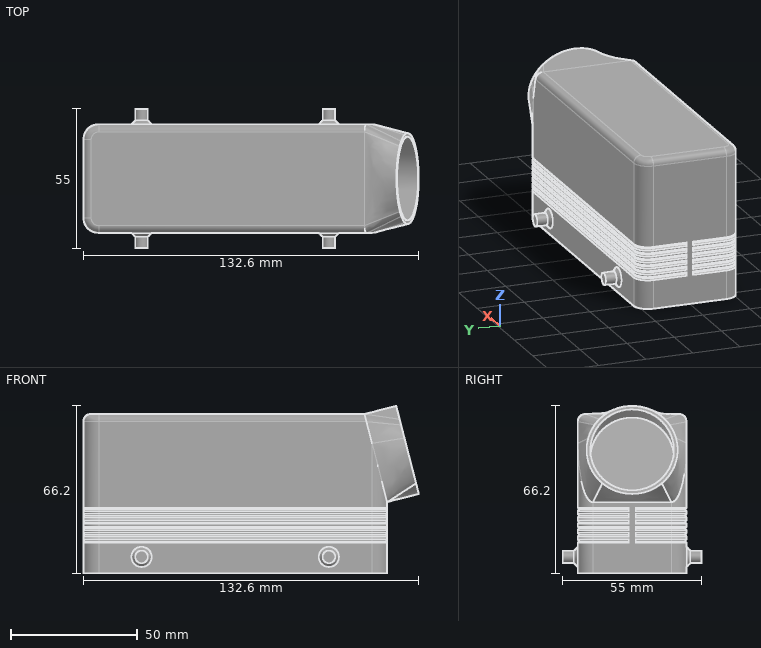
import cadquery as cq
import math

BODY_LENGTH = 120.0
BODY_WIDTH = 43.0
BODY_HEIGHT = 63.0
CORNER_RADIUS = 6.0
RIM_RADIUS = 3.0

GROOVE_COUNT = 6
GROOVE_PITCH = 2.5
GROOVE_HEIGHT = 1.5
GROOVE_DEPTH = 0.5
GROOVE_BAND_BOTTOM = 12.0
GROOVE_LAND_WIDTH = 2.75

PIN_SPACING = 74.0
PIN_HEIGHT = 6.5
PIN_RADIUS = 2.5
PIN_TIP_SPAN = 55.0
FOOT_RADIUS = 4.0
FOOT_LENGTH = FOOT_RADIUS - PIN_RADIUS

ENTRY_TILT = 14.4
MOUTH_RADIUS = 18.0
BORE_RADIUS = 16.5
MOUTH_END_X = 132.57
MOUTH_TOP_Z = 66.21
CUT_FOOT_Z = 28.1

TILT = math.radians(ENTRY_TILT)
AXIS = cq.Vector(math.cos(TILT), 0, math.sin(TILT))
UPHILL = cq.Vector(-math.sin(TILT), 0, math.cos(TILT))
SIDEWAYS = cq.Vector(0, 1, 0)
CUT_FOOT = cq.Vector(BODY_LENGTH, 0, CUT_FOOT_Z)
MOUTH_CENTRE = cq.Vector(
    MOUTH_END_X - MOUTH_RADIUS * math.sin(TILT), 0, MOUTH_TOP_Z - MOUTH_RADIUS * math.cos(TILT)
)
NECK_LENGTH = (MOUTH_CENTRE - CUT_FOOT).dot(AXIS)
CUT_CENTRE = MOUTH_CENTRE - AXIS * NECK_LENGTH


def rounded_prism(base_z, height):
    """Upright block with the body outline and its rounded corners."""
    return (
        cq.Workplane("XY", origin=(BODY_LENGTH / 2, 0, base_z))
        .rect(BODY_LENGTH, BODY_WIDTH)
        .extrude(height)
        .edges("|Z")
        .fillet(CORNER_RADIUS)
    )


def groove_cutter(base_z):
    """V-section ring around the body, open at the middle of both end walls."""
    half_height = GROOVE_HEIGHT / 2
    mid_z = base_z + half_height
    mid_point = cq.Vector(BODY_LENGTH / 2, 0, mid_z)
    path = rounded_prism(mid_z, half_height).faces("<Z").wires().val()
    start = path.startPoint()
    tangent = path.tangentAt(0)
    outward = tangent.cross(cq.Vector(0, 0, 1))
    if outward.dot(start - mid_point) < 0:
        outward = outward * -1
    section_plane = cq.Plane(origin=start, xDir=outward, normal=tangent)
    ring = (
        cq.Workplane(section_plane)
        .polyline([(0, -half_height), (0, half_height), (-GROOVE_DEPTH, 0)])
        .close()
        .sweep(cq.Workplane(path))
    )
    land = cq.Workplane("XY", origin=mid_point).box(BODY_LENGTH, GROOVE_LAND_WIDTH, GROOVE_HEIGHT)
    return ring.cut(land)


def entry_workplane(centre):
    """Workplane square to the cable entry axis."""
    return cq.Workplane(cq.Plane(origin=centre, xDir=SIDEWAYS, normal=AXIS))


def make_body():
    """Grooved hood body with the upper +X corner cut off square to the entry axis."""
    body = rounded_prism(0, BODY_HEIGHT).faces(">Z").edges().fillet(RIM_RADIUS)
    for index in range(GROOVE_COUNT):
        body = body.cut(groove_cutter(GROOVE_BAND_BOTTOM + index * GROOVE_PITCH))
    waste = entry_workplane(CUT_CENTRE).rect(BODY_LENGTH, BODY_LENGTH).extrude(BODY_LENGTH)
    return body.cut(waste)


def mouth_wire(neck_root):
    """Mouth circle split into arcs, one facing each edge of the neck root outline."""

    def polar_angle(point):
        offset = point - CUT_CENTRE
        return math.atan2(offset.dot(UPHILL), offset.dot(SIDEWAYS))

    def on_mouth(angle):
        across = SIDEWAYS * math.cos(angle)
        return MOUTH_CENTRE + (across + UPHILL * math.sin(angle)) * MOUTH_RADIUS

    angles = sorted(polar_angle(vertex.Center()) for vertex in neck_root.Vertices())
    ends = angles[1:] + [angles[0] + 2 * math.pi]
    arcs = [
        cq.Edge.makeThreePointArc(on_mouth(start), on_mouth((start + end) / 2), on_mouth(end))
        for start, end in zip(angles, ends)
    ]
    return cq.Wire.assembleEdges(arcs)


def make_neck(body):
    """Ruled transition from the sloping cut face of the body to the mouth circle."""
    cut_face = max(body.faces("%Plane").vals(), key=lambda face: face.normalAt().dot(AXIS))
    root = cut_face.outerWire()
    return cq.Workplane(cq.Solid.makeLoft([root, mouth_wire(root)], True))


def make_bore():
    """Cutter for the round bore, from the mouth to the depth of the neck."""
    return entry_workplane(MOUTH_CENTRE).circle(BORE_RADIUS).extrude(-NECK_LENGTH)


def make_pin(x, side):
    """Pin with conical foot on the +Y (side = 1) or -Y (side = -1) wall."""
    wall = BODY_WIDTH / 2
    profile = [
        (0, wall - FOOT_LENGTH),
        (FOOT_RADIUS, wall - FOOT_LENGTH),
        (FOOT_RADIUS, wall),
        (PIN_RADIUS, wall + FOOT_LENGTH),
        (PIN_RADIUS, PIN_TIP_SPAN / 2),
        (0, PIN_TIP_SPAN / 2),
    ]
    return (
        cq.Workplane("XY", origin=(x, 0, PIN_HEIGHT))
        .polyline([(radius, side * reach) for radius, reach in profile])
        .close()
        .revolve(360, (0, 0, 0), (0, 1, 0))
    )


body = make_body()
result = body.union(make_neck(body)).cut(make_bore())

for offset in (-PIN_SPACING / 2, PIN_SPACING / 2):
    for side in (-1, 1):
        result = result.union(make_pin(BODY_LENGTH / 2 + offset, side))